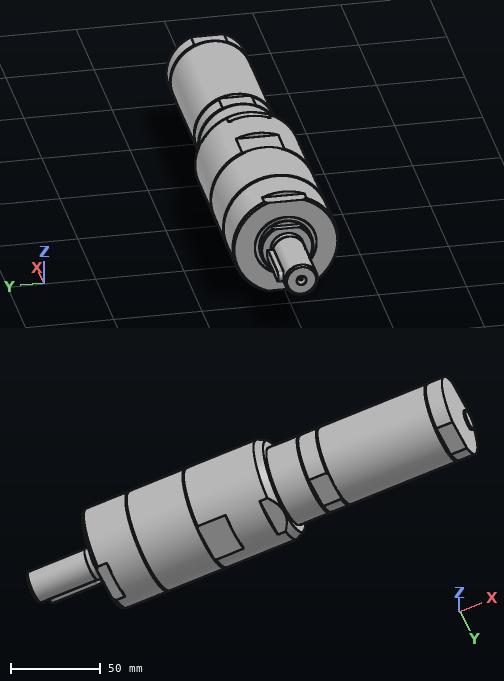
import cadquery as cq
import math

shaft_shoulder = 35.8
collar_start = 40.0
body_start = 43.7
nose_end = 50.8
nose_taper_length = 1.5
seam_station = 71.0
body_flat_start = 105.7
body_flat_end = 123.5
rear_flat_start = 144.6
body_taper_start = 149.5
body_end = 154.0
tail_flat_start = 173.5
tail_flat_end = 185.5
rear_seam_station = 252.0
tail_end = 262.0
overall_length = 263.0

shaft_diameter = 18.7
shaft_seat_diameter = 19.0
collar_diameter = 30.0
body_diameter = 60.0
nose_face_diameter = 58.5
body_rear_diameter = 55.0
tail_diameter = 46.5
groove_diameter = 46.0
front_recess_diameter = 35.0

collar_across_flats = 25.0
body_across_flats = 55.0
tail_across_flats = 42.5

shaft_chamfer = 1.0
collar_chamfer = 0.8
groove_width = 0.8
body_groove_diameter = 59.5
front_recess_depth = 0.8

key_start = 4.7
key_end = 36.5
key_width = 6.0
key_top = 12.0

centre_mouth_diameter = 5.5
centre_cone_diameter = 4.2
centre_pilot_diameter = 1.55
centre_pilot_depth = 2.5
centre_mouth_angle = 120
centre_cone_angle = 90

rear_boss_diameter = 11.5
rear_boss_offset = 10.8


def cylinder(start, end, diameter):
    """Solid cylinder around the X axis."""
    return cq.Workplane("YZ", origin=(start, 0, 0)).circle(diameter / 2).extrude(end - start)


def cone(start, end, start_diameter, end_diameter):
    """Solid cone frustum around the X axis."""
    outline = [
        (start, 0),
        (start, start_diameter / 2),
        (end, end_diameter / 2),
        (end, 0),
    ]
    return cq.Workplane("XY").polyline(outline).close().revolve(360, (0, 0, 0), (1, 0, 0))


def ring(start, end, inner_diameter, outer_diameter):
    """Solid ring around the X axis."""
    return cylinder(start, end, outer_diameter).cut(cylinder(start, end, inner_diameter))


def cut_flats(part, start, end, across_flats):
    """Cut two parallel flats, facing +Z and -Z, over a length of the part."""
    depth = body_diameter
    for side in (1, -1):
        centre = ((start + end) / 2, 0, side * (across_flats + depth) / 2)
        part = part.cut(cq.Workplane("XY").box(end - start, 2 * depth, depth).translate(centre))
    return part


def make_shaft():
    shaft = cylinder(0, shaft_shoulder, shaft_diameter).faces("<X").chamfer(shaft_chamfer)
    seat = cylinder(shaft_shoulder, collar_start, shaft_seat_diameter)
    return shaft.union(seat)


def cone_depth(start_diameter, end_diameter, included_angle):
    """Axial length of a cone that narrows between two diameters."""
    return (start_diameter - end_diameter) / 2 / math.tan(math.radians(included_angle / 2))


def make_centre_hole():
    """Centre-drill shape: protective countersink, bearing cone and pilot."""
    mouth_end = cone_depth(centre_mouth_diameter, centre_cone_diameter, centre_mouth_angle)
    cone_end = mouth_end + cone_depth(centre_cone_diameter, centre_pilot_diameter, centre_cone_angle)
    hole = cone(0, mouth_end, centre_mouth_diameter, centre_cone_diameter)
    hole = hole.union(cone(mouth_end, cone_end, centre_cone_diameter, centre_pilot_diameter))
    return hole.union(cylinder(cone_end, cone_end + centre_pilot_depth, centre_pilot_diameter))


def make_collar():
    """Collar that stands in the body's front recess, with flats down to the body face."""
    collar = cylinder(collar_start, body_start + front_recess_depth, collar_diameter)
    collar = collar.faces("<X").chamfer(collar_chamfer)
    return cut_flats(collar, collar_start, body_start, collar_across_flats)


def make_key():
    """Round-ended parallel key, standing on the shaft axis."""
    length = key_end - key_start
    return (
        cq.Workplane("XZ", origin=((key_start + key_end) / 2, 0, 0))
        .slot2D(length, key_width)
        .extrude(-key_top)
    )


def make_body():
    nose_taper_end = body_start + nose_taper_length
    body = cone(body_start, nose_taper_end, nose_face_diameter, body_diameter)
    body = body.union(cylinder(nose_taper_end, body_taper_start, body_diameter))
    body = body.union(cone(body_taper_start, body_end, body_diameter, body_rear_diameter))
    body = cut_flats(body, body_start, nose_end, body_across_flats)
    body = cut_flats(body, body_flat_start, body_flat_end, body_across_flats)
    body = cut_flats(body, rear_flat_start, body_end, body_across_flats)
    for start in (seam_station - groove_width / 2, body_flat_start):
        end = start + groove_width
        body = body.cut(ring(start, end, body_groove_diameter, body_diameter))
    return body.cut(cylinder(body_start, body_start + front_recess_depth, front_recess_diameter))


def make_tail():
    tail = cylinder(body_end, tail_end, tail_diameter)
    tail = cut_flats(tail, tail_flat_start, tail_flat_end, tail_across_flats)
    tail = cut_flats(tail, rear_seam_station, tail_end, tail_across_flats)
    for end in (tail_flat_start, tail_flat_end, rear_seam_station):
        tail = tail.cut(ring(end - groove_width, end, groove_diameter, tail_diameter))
    return tail


def make_rear_boss():
    boss = cylinder(tail_end, overall_length, rear_boss_diameter)
    return boss.translate((0, rear_boss_offset, rear_boss_offset))


result = make_body()
for piece in (make_collar(), make_shaft(), make_key(), make_tail(), make_rear_boss()):
    result = result.union(piece)
result = result.cut(make_centre_hole())